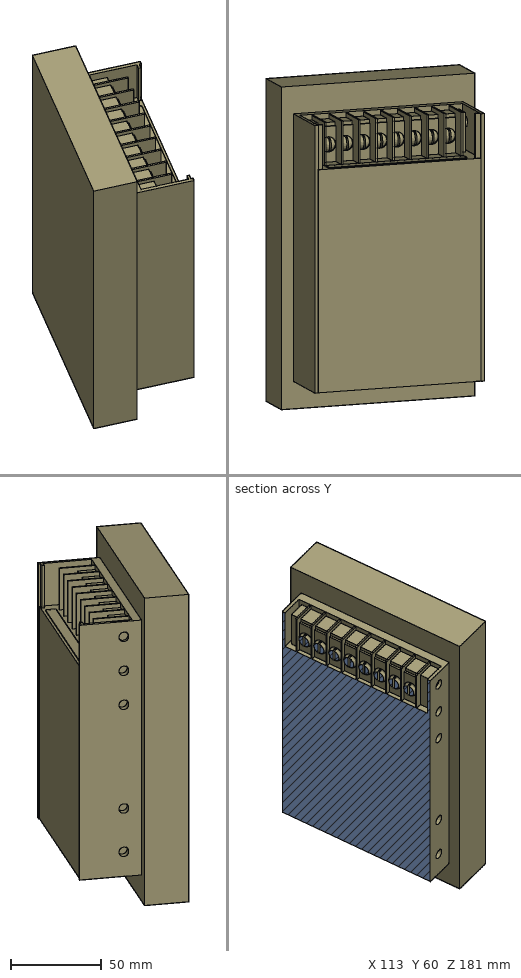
import cadquery as cq

BOX_WIDTH = 113.0
BOX_DEPTH = 25.0
BOX_HEIGHT = 181.0

TOTAL_DEPTH = 60.0
HOUSING_WIDTH = 99.0
HOUSING_HEIGHT = 150.0
HOUSING_TOP = HOUSING_HEIGHT / 2
HOUSING_BOTTOM = -HOUSING_TOP
WALL_THICKNESS = 2.0
FLOOR_THICKNESS = 5.0
FLOOR_BACK = BOX_DEPTH + FLOOR_THICKNESS
INNER_WIDTH = HOUSING_WIDTH - 2 * WALL_THICKNESS

LIP_REACH = 2.8
LIP_FRONT = 57.4
LIP_BACK = 58.8
COVER_BACK = 59.5

RECESS_DEPTH = 25.0
CORE_TOP = HOUSING_TOP - RECESS_DEPTH

TERMINAL_COUNT = 8
TERMINAL_PITCH = 10.0
BLOCK_WIDTH = 91.4
BLOCK_BACK = 39.8
BLOCK_TOP = HOUSING_TOP - 3.0
DIVIDER_THICKNESS = 1.0
DIVIDER_BACK = 50.0
DIVIDER_TOP = HOUSING_TOP - 0.6
CONTACT_BACK = 41.0
CONTACT_TOP = BLOCK_TOP - 2.0

SCREW_DIAMETER = 8.4
SCREW_RIM = 0.6
SCREW_DOME = 3.4
SLOT_WIDTH = 1.0
SLOT_FLOOR = CONTACT_BACK + SCREW_RIM
SCREW_Z = (CORE_TOP + CONTACT_TOP) / 2

LABEL_WIDTH = 80.8
LABEL_FRONT = 51.8
LABEL_BACK = 57.9
LABEL_THICKNESS = 0.5
LABEL_CORNER = 1.0

HOLE_DIAMETER = 5.5
HOLE_DEPTH = 4.0
HOLE_Y = 35.0
HOLE_HEIGHTS = [14.5, 40.0, 101.0, 121.0, 141.0]


def block(width, y_range, z_range, x_center=0.0):
    """Box centred on x_center, spanning the given Y and Z ranges."""
    y_front, y_back = y_range
    z_bottom, z_top = z_range
    depth = y_back - y_front
    height = z_top - z_bottom
    solid = cq.Workplane("XY").box(width, depth, height, centered=(True, False, False))
    return solid.translate((x_center, y_front, z_bottom))


def make_front_box():
    return block(BOX_WIDTH, (0, BOX_DEPTH), (-BOX_HEIGHT / 2, BOX_HEIGHT / 2))


def make_channel():
    """Floor with two side walls, each ending in an inward lip."""
    full_height = (HOUSING_BOTTOM, HOUSING_TOP)
    channel = block(HOUSING_WIDTH, (BOX_DEPTH, FLOOR_BACK), full_height)
    wall_x = (HOUSING_WIDTH - WALL_THICKNESS) / 2
    lip_width = WALL_THICKNESS + LIP_REACH
    lip_x = (HOUSING_WIDTH - lip_width) / 2
    for side in (-1, 1):
        wall = block(WALL_THICKNESS, (BOX_DEPTH, TOTAL_DEPTH), full_height, side * wall_x)
        lip = block(lip_width, (LIP_FRONT, LIP_BACK), full_height, side * lip_x)
        channel = channel.union(wall).union(lip)
    return channel


def make_wall_holes():
    """Cutters through the -X wall; below the recess they end blind in the core."""
    points = [(HOLE_Y, HOUSING_BOTTOM + height) for height in HOLE_HEIGHTS]
    cutters = cq.Workplane("YZ").pushPoints(points).circle(HOLE_DIAMETER / 2).extrude(HOLE_DEPTH)
    return cutters.translate((-HOUSING_WIDTH / 2, 0, 0))


def make_core():
    return block(INNER_WIDTH, (FLOOR_BACK, COVER_BACK), (HOUSING_BOTTOM, CORE_TOP))


def make_label():
    label = block(LABEL_WIDTH, (LABEL_FRONT, LABEL_BACK), (CORE_TOP, CORE_TOP + LABEL_THICKNESS))
    return label.edges("|Z").fillet(LABEL_CORNER)


def make_screw(x_center):
    """Domed screw head with its axis along Y and its slot along Z."""
    radius = SCREW_DIAMETER / 2
    dome_start = SLOT_FLOOR
    dome_end = dome_start + SCREW_DOME
    sphere_radius = (radius**2 + SCREW_DOME**2) / (2 * SCREW_DOME)
    sphere_center = dome_end - sphere_radius
    mid_x = radius / 2
    mid_y = sphere_center + (sphere_radius**2 - mid_x**2) ** 0.5
    head = (
        cq.Workplane("XY")
        .moveTo(0, CONTACT_BACK)
        .lineTo(radius, CONTACT_BACK)
        .lineTo(radius, dome_start)
        .threePointArc((mid_x, mid_y), (0, dome_end))
        .close()
        .revolve(360, (0, 0, 0), (0, 1, 0))
    )
    slot = block(SLOT_WIDTH, (SLOT_FLOOR, dome_end), (-radius, radius))
    return head.cut(slot).translate((x_center, 0, SCREW_Z))


def make_terminals():
    """Terminal block with dividers, and a contact bar with a screw between each pair."""
    terminals = block(BLOCK_WIDTH, (FLOOR_BACK, BLOCK_BACK), (CORE_TOP, BLOCK_TOP))
    strip_width = TERMINAL_COUNT * TERMINAL_PITCH
    contacts = block(strip_width, (BLOCK_BACK, CONTACT_BACK), (CORE_TOP, CONTACT_TOP))
    terminals = terminals.union(contacts)
    for index in range(TERMINAL_COUNT + 1):
        divider_x = index * TERMINAL_PITCH - strip_width / 2
        divider = block(
            DIVIDER_THICKNESS, (FLOOR_BACK, DIVIDER_BACK), (CORE_TOP, DIVIDER_TOP), divider_x
        )
        terminals = terminals.union(divider)
    for index in range(TERMINAL_COUNT):
        screw_x = (index + 0.5) * TERMINAL_PITCH - strip_width / 2
        terminals = terminals.union(make_screw(screw_x))
    return terminals


result = (
    make_front_box()
    .union(make_channel())
    .union(make_core())
    .cut(make_wall_holes())
    .union(make_label())
    .union(make_terminals())
)